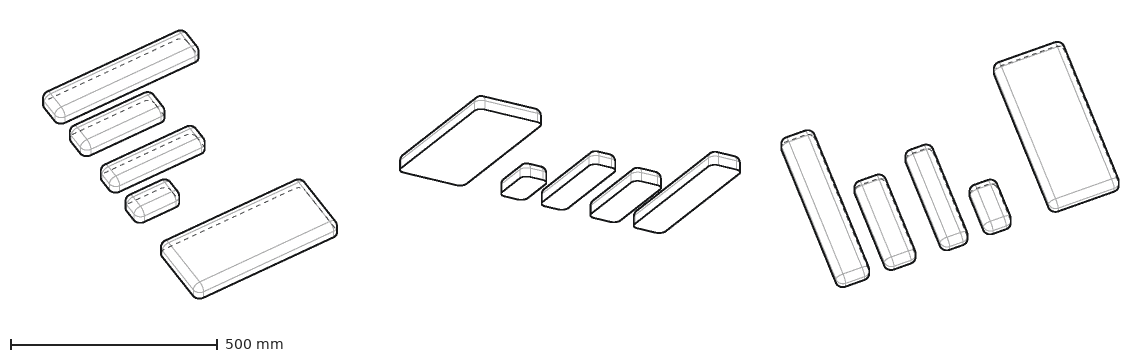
import cadquery as cq

block_height = 42.5
edge_radius = 18.0

row_length = 732.0
longest_block = 405.0

long_bar_width = 86.0

medium_bar_left = 125.0
medium_bar_width = 80.5
medium_bar_length = 236.0

narrow_width = 71.0
slim_bar_left = 269.5
slim_bar_length = 268.0

short_block_left = 382.0
short_block_setback = 1.5
short_block_length = 126.0

plate_width = 181.5


def rounded_block(left, front, width, length):
    """Block with a flat bottom and equally rounded upright and top edges."""
    return (
        cq.Workplane("XY")
        .box(width, length, block_height, centered=False)
        .edges("|Z or >Z")
        .fillet(edge_radius)
        .translate((left, front, 0))
    )


long_bar = rounded_block(0, 0, long_bar_width, longest_block)
medium_bar = rounded_block(medium_bar_left, 0, medium_bar_width, medium_bar_length)
slim_bar = rounded_block(slim_bar_left, 0, narrow_width, slim_bar_length)
short_block = rounded_block(
    short_block_left, short_block_setback, narrow_width, short_block_length
)
wide_plate = rounded_block(row_length - plate_width, 0, plate_width, longest_block)

result = cq.Compound.makeCompound([
    long_bar.val(),
    medium_bar.val(),
    slim_bar.val(),
    short_block.val(),
    wide_plate.val(),
])